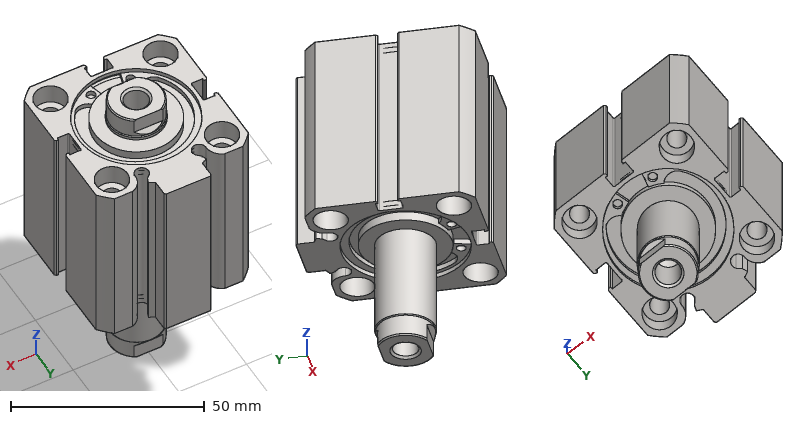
import cadquery as cq
import math

body_side = 45.0
body_height = 51.0
corner_turn_radius = 29.4
bore_radius = 16.9

hole_spacing = 32.5
hole_diameter = 5.1
counterbore_diameter = 9.1
counterbore_depth = 6.0

rail_top_y = 27.5
rail_half_width = 6.9
rail_chamfer = 0.45
lip_tip_x = 8.55
lip_tip_y = 21.8
lip_back_x = 8.0
lip_back_y = 20.3
lip_root_y = 22.6
channel_x = 8.5
channel_y = 18.1
channel_radius = 2.0
channel_neck_angle = 145.0
shoulder_x = 13.6
shoulder_mid_x = 11.3
shoulder_mid_y = 20.9

slot_floor = 18.0
slot_half_width = 3.3
slot_mouth_half_width = 2.6
slot_lip = 1.1
slot_lip_chamfer = 0.45
slot_corner_radius = 0.4

ring_depth = 1.3
ring_thickness = 1.4
ring_radius = 17.8
ring_opening_radius = 15.5
ring_opening_offset = 0.9
ear_inner_radius = 12.4
ear_gap_angle = 15.2
ear_end_angle = 34.5
ear_root_angle = 52.0
ear_root_mid_x = 10.1
ear_root_mid_y = -11.4
ear_hole_x = 5.85
ear_hole_y = -13.4
ear_hole_diameter = 2.5

boss_radius = 12.2
boss_recess = 0.2
flange_thickness = 7.2

rod_radius = 8.0
rod_length = 90.0
rod_top_projection = 6.9
rod_end_radius = 7.7
rod_end_length = 5.9
rod_end_chamfer = 0.4
flat_half_width = 6.5
flat_length = 4.5
socket_radius = 3.4
socket_chamfer = 0.6
socket_depth = 13.5
drill_tip_angle = 118.0

half_side = body_side / 2
ring_bottom_depth = ring_depth + ring_thickness


def mirrored_pair(shape):
    """A body at the top end and its mirror image at the bottom end."""
    return [shape, shape.mirror("XY", (0, 0, body_height / 2))]


def polar(radius, angle, side):
    """Point at an angle from -Y, on the +X (side 1) or -X (side -1) half."""
    turn = math.radians(angle)
    return (side * radius * math.sin(turn), -radius * math.cos(turn))


def ring_root(side):
    """Point where an ear runs into the round opening of the ring."""
    x, y = polar(ring_opening_radius, ear_root_angle, side)
    return (x, y - ring_opening_offset)


def make_top_ring():
    ring = (
        cq.Workplane("XY", origin=(0, 0, body_height - ring_bottom_depth))
        .moveTo(*polar(ring_radius, ear_gap_angle, 1))
        .threePointArc((0, ring_radius), polar(ring_radius, ear_gap_angle, -1))
        .lineTo(*polar(ear_inner_radius, ear_gap_angle, -1))
        .threePointArc(
            polar(ear_inner_radius, (ear_gap_angle + ear_end_angle) / 2, -1),
            polar(ear_inner_radius, ear_end_angle, -1),
        )
        .threePointArc((-ear_root_mid_x, ear_root_mid_y), ring_root(-1))
        .threePointArc((0, ring_opening_radius - ring_opening_offset), ring_root(1))
        .threePointArc((ear_root_mid_x, ear_root_mid_y), polar(ear_inner_radius, ear_end_angle, 1))
        .threePointArc(
            polar(ear_inner_radius, (ear_gap_angle + ear_end_angle) / 2, 1),
            polar(ear_inner_radius, ear_gap_angle, 1),
        )
        .close()
        .extrude(ring_thickness)
    )
    ear_holes = (
        cq.Workplane("XY", origin=(0, 0, body_height - ring_bottom_depth))
        .pushPoints([(-ear_hole_x, ear_hole_y), (ear_hole_x, ear_hole_y)])
        .circle(ear_hole_diameter / 2)
        .extrude(ring_thickness)
    )
    return ring.cut(ear_holes)


def make_top_cover():
    flange_top = body_height - ring_bottom_depth
    flange_bottom = flange_top - flange_thickness
    flange = cq.Workplane("XY", origin=(0, 0, flange_bottom)).circle(bore_radius).extrude(flange_thickness)
    boss = (
        cq.Workplane("XY", origin=(0, 0, flange_top))
        .circle(boss_radius)
        .extrude(ring_bottom_depth - boss_recess)
    )
    rod_hole = cq.Workplane("XY").circle(rod_radius).extrude(body_height)
    return flange.union(boss).cut(rod_hole)


def make_socket(end_z):
    """Drilled hole with a chamfered mouth and a conical tip, opening upward at end_z."""
    tip_length = socket_radius / math.tan(math.radians(drill_tip_angle / 2))
    mouth_radius = socket_radius + socket_chamfer
    return (
        cq.Workplane("XZ")
        .moveTo(0, end_z)
        .lineTo(mouth_radius, end_z)
        .lineTo(socket_radius, end_z - socket_chamfer)
        .lineTo(socket_radius, end_z - socket_depth)
        .lineTo(0, end_z - socket_depth - tip_length)
        .close()
        .revolve(360, (0, 0, 0), (0, 1, 0))
    )


def make_flat(end_z, side):
    """Cutter for one wrench flat that runs out at 45 degrees below its length."""
    reach = rod_radius - flat_half_width
    return (
        cq.Workplane("YZ", origin=(-rod_radius, 0, 0))
        .moveTo(side * flat_half_width, end_z)
        .lineTo(side * flat_half_width, end_z - flat_length)
        .lineTo(side * rod_radius, end_z - flat_length - reach)
        .lineTo(side * rod_radius, end_z)
        .close()
        .extrude(2 * rod_radius)
    )


def make_rod():
    top_z = body_height + rod_top_projection
    middle_z = top_z - rod_length / 2
    step = rod_radius - rod_end_radius
    upper_half = (
        cq.Workplane("XZ")
        .moveTo(0, middle_z)
        .lineTo(rod_radius, middle_z)
        .lineTo(rod_radius, top_z - rod_end_length - step)
        .lineTo(rod_end_radius, top_z - rod_end_length)
        .lineTo(rod_end_radius, top_z - rod_end_chamfer)
        .lineTo(rod_end_radius - rod_end_chamfer, top_z)
        .lineTo(0, top_z)
        .close()
        .revolve(360, (0, 0, 0), (0, 1, 0))
    )
    upper_half = upper_half.cut(make_socket(top_z))
    for side in (-1, 1):
        upper_half = upper_half.cut(make_flat(top_z, side))
    return upper_half.union(upper_half.mirror("XY", (0, 0, middle_z)))


def make_channel_void(side):
    """Space beside the rail, on the +X (side 1) or -X (side -1) half."""
    wall_x = channel_x + channel_radius
    neck_turn = math.radians(channel_neck_angle)
    neck_x = channel_x + channel_radius * math.cos(neck_turn)
    neck_y = channel_y + channel_radius * math.sin(neck_turn)
    return (
        cq.Workplane("XY")
        .moveTo(side * rail_half_width, rail_top_y - rail_chamfer)
        .lineTo(side * rail_half_width, lip_root_y)
        .lineTo(side * lip_tip_x, lip_tip_y)
        .lineTo(side * lip_back_x, lip_back_y)
        .lineTo(side * neck_x, neck_y)
        .threePointArc((side * channel_x, channel_y - channel_radius), (side * wall_x, channel_y))
        .threePointArc((side * shoulder_mid_x, shoulder_mid_y), (side * shoulder_x, half_side))
        .lineTo(side * half_side, half_side)
        .lineTo(side * half_side, rail_top_y)
        .lineTo(side * (rail_half_width - rail_chamfer), rail_top_y)
        .close()
        .extrude(body_height)
    )


def make_slot(turn):
    """T-slot void on the -Y side, turned about Z."""
    channel = (
        cq.Workplane("XY")
        .rect(2 * slot_half_width, half_side - slot_lip - slot_floor)
        .extrude(body_height)
        .edges("|Z and >Y")
        .fillet(slot_corner_radius)
        .translate((0, -(slot_floor + half_side - slot_lip) / 2, 0))
    )
    lip_y = -half_side + slot_lip
    chamfer_half_width = slot_mouth_half_width + slot_lip_chamfer
    mouth = (
        cq.Workplane("XY")
        .polyline([
            (-slot_mouth_half_width, lip_y),
            (slot_mouth_half_width, lip_y),
            (slot_mouth_half_width, -half_side + slot_lip_chamfer),
            (chamfer_half_width, -half_side),
            (-chamfer_half_width, -half_side),
            (-slot_mouth_half_width, -half_side + slot_lip_chamfer),
        ])
        .close()
        .extrude(body_height)
    )
    return channel.union(mouth).rotate((0, 0, 0), (0, 0, 1), turn)


def make_mounting_holes():
    corners = cq.Workplane("XY").rect(hole_spacing, hole_spacing, forConstruction=True).vertices()
    holes = corners.circle(hole_diameter / 2).extrude(body_height)
    for floor_z in (0, body_height - counterbore_depth):
        counterbores = (
            cq.Workplane("XY", origin=(0, 0, floor_z))
            .rect(hole_spacing, hole_spacing, forConstruction=True)
            .vertices()
            .circle(counterbore_diameter / 2)
            .extrude(counterbore_depth)
        )
        holes = holes.union(counterbores)
    return holes


def make_housing():
    block = (
        cq.Workplane("XY")
        .center(0, (rail_top_y - half_side) / 2)
        .rect(body_side, half_side + rail_top_y)
        .extrude(body_height)
    )
    housing = block.intersect(cq.Workplane("XY").circle(corner_turn_radius).extrude(body_height))
    for side in (-1, 1):
        housing = housing.cut(make_channel_void(side))
    for turn in (-90, 0, 90):
        housing = housing.cut(make_slot(turn))
    housing = housing.cut(make_mounting_holes())
    housing = housing.cut(cq.Workplane("XY").circle(bore_radius).extrude(body_height))
    for groove_z in (ring_depth, body_height - ring_bottom_depth):
        groove = cq.Workplane("XY", origin=(0, 0, groove_z)).circle(ring_radius).extrude(ring_thickness)
        housing = housing.cut(groove)
    return housing


housing = make_housing()
rod = make_rod()
covers = mirrored_pair(make_top_cover())
rings = mirrored_pair(make_top_ring())

result = cq.Compound.makeCompound([
    housing.val(),
    rod.val(),
    *[cover.val() for cover in covers],
    *[ring.val() for ring in rings],
])